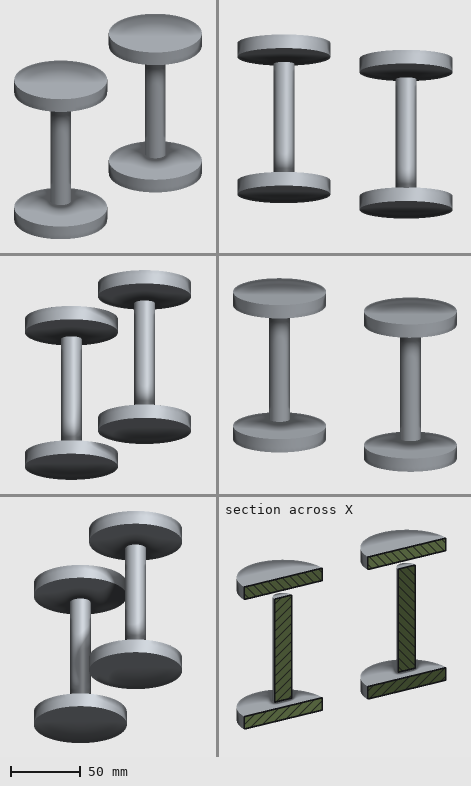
import cadquery as cq

overall_length = 171.5
overall_height = 110.0
disc_diameter = 66.5
disc_thickness = 10.0
rod_diameter = 15.0
rod_length = 80.0

set_spacing = overall_length - disc_diameter
set_positions = [-set_spacing / 2, set_spacing / 2]
disc_bases = [0.0, overall_height - disc_thickness]
rod_base = (overall_height - rod_length) / 2


def upright_cylinder(diameter, height, y, base):
    """Solid cylinder along Z, centred at X = 0 and the given Y."""
    return cq.Workplane("XY", origin=(0, y, base)).circle(diameter / 2).extrude(height)


def make_disc(y, base):
    """Flat round end disc."""
    return upright_cylinder(disc_diameter, disc_thickness, y, base)


def make_rod(y):
    """Plain rod that stands clear between the two discs of a set."""
    return upright_cylinder(rod_diameter, rod_length, y, rod_base)


discs = [make_disc(y, base) for y in set_positions for base in disc_bases]
rods = [make_rod(y) for y in set_positions]

result = cq.Compound.makeCompound([body.val() for body in discs + rods])